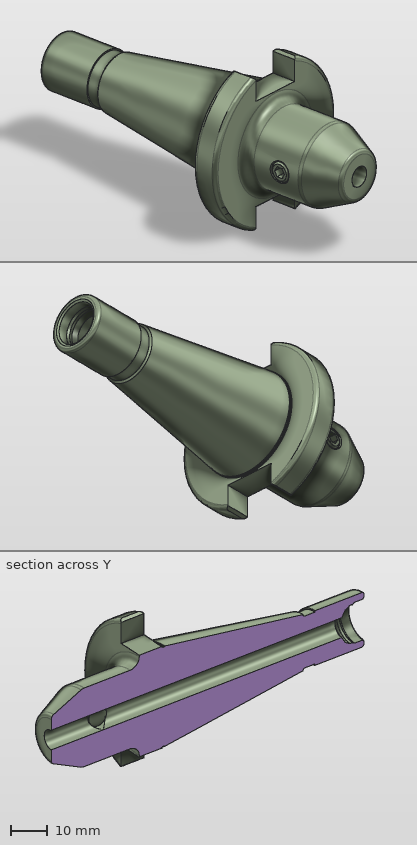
import cadquery as cq
import math

TOTAL_LENGTH = 108.4
TAPER_RATIO = 7 / 24
GAUGE_RADIUS = 31.9 / 2
GAUGE_X = 68.9

RELIEF_START_X = 69.2
RELIEF_END_X = 69.7
RELIEF_DEPTH = 0.16

PILOT_RADIUS = 17.5 / 2
PILOT_LENGTH = 17.1
PILOT_EDGE_FILLET = 1.0
GROOVE_RADIUS = 16.6 / 2
GROOVE_END_X = 20.8
TAPER_START_X = 21.2

FLANGE_RADIUS = 50.2 / 2
FLANGE_START_X = 70.0
FLANGE_THICKNESS = 7.9
FLANGE_EDGE_FILLET = 1.2
NOTCH_WIDTH = 16.0
NOTCH_FLOOR_Z = 16.2
NOTCH_EDGE_CHAMFER = 1.0

NOSE_RADIUS = 25.0 / 2
NOSE_ROOT_FILLET = 3.1
NOSE_CONE_X = 97.6
NOSE_CONE_ANGLE = 25.0
NOSE_SHOULDER_FILLET = 2.5
NOSE_TIP_FILLET = 1.4

MOUTH_RADIUS = 7.0
MOUTH_HALF_ANGLE = 60.0
COUNTERBORE_RADIUS = 6.4
COUNTERBORE_DEPTH = 3.4
BORE_STEP_HALF_ANGLE = 30.0
THREAD_RADIUS = 6.0
THREAD_END_X = 5.0
DRILL_RADIUS = 5.1
DRILL_HALF_ANGLE = 59.0
TOOL_BORE_RADIUS = 3.0

SCREW_X = 90.3
SCREW_RADIUS = 3.0
SCREW_INNER_Y = -2.5
SCREW_EDGE_CHAMFER = 0.5
SOCKET_ACROSS_FLATS = 3.0
SOCKET_DEPTH = 3.5
SOCKET_TURN = 30.0
SCREW_HOLE_CHAMFER = 0.3

SPOTFACE_X = 88.5
SPOTFACE_RADIUS = 5.0
SPOTFACE_FLOOR_Y = 11.8

MATCH_TOLERANCE = 0.01


def cone_run(radius_change, half_angle):
    """Axial length of a cone over which the radius changes by the given amount."""
    return radius_change / math.tan(math.radians(half_angle))


def revolve_about_x(profile):
    return profile.close().revolve(360, (0, 0, 0), (1, 0, 0))


def round_edges(solid, fillet_radius, x, edge_radius):
    """Fillet the circular edges of the given radius lying in the plane at x."""
    matches = [
        edge
        for edge in solid.edges("%CIRCLE").vals()
        if abs(edge.Center().x - x) < MATCH_TOLERANCE and abs(edge.radius() - edge_radius) < MATCH_TOLERANCE
    ]
    return solid.newObject(matches).fillet(fillet_radius)


def turned_blank():
    taper_start_radius = GAUGE_RADIUS - (GAUGE_X - TAPER_START_X) * TAPER_RATIO / 2
    flange_end_x = FLANGE_START_X + FLANGE_THICKNESS
    tip_drop = (TOTAL_LENGTH - NOSE_CONE_X) * math.tan(math.radians(NOSE_CONE_ANGLE))
    tip_radius = NOSE_RADIUS - tip_drop
    blank = revolve_about_x(
        cq.Workplane("XZ")
        .moveTo(0, 0)
        .lineTo(0, PILOT_RADIUS)
        .lineTo(PILOT_LENGTH, PILOT_RADIUS)
        .lineTo(PILOT_LENGTH, GROOVE_RADIUS)
        .lineTo(GROOVE_END_X, GROOVE_RADIUS)
        .lineTo(TAPER_START_X, taper_start_radius)
        .lineTo(GAUGE_X, GAUGE_RADIUS)
        .lineTo(RELIEF_START_X, GAUGE_RADIUS)
        .lineTo(RELIEF_START_X, GAUGE_RADIUS - RELIEF_DEPTH)
        .lineTo(RELIEF_END_X, GAUGE_RADIUS - RELIEF_DEPTH)
        .lineTo(RELIEF_END_X, GAUGE_RADIUS)
        .lineTo(FLANGE_START_X, GAUGE_RADIUS)
        .lineTo(FLANGE_START_X, FLANGE_RADIUS)
        .lineTo(flange_end_x, FLANGE_RADIUS)
        .lineTo(flange_end_x, NOSE_RADIUS)
        .lineTo(NOSE_CONE_X, NOSE_RADIUS)
        .lineTo(TOTAL_LENGTH, tip_radius)
        .lineTo(TOTAL_LENGTH, 0)
    )
    blank = round_edges(blank, PILOT_EDGE_FILLET, 0, PILOT_RADIUS)
    blank = round_edges(blank, FLANGE_EDGE_FILLET, FLANGE_START_X, FLANGE_RADIUS)
    blank = round_edges(blank, FLANGE_EDGE_FILLET, flange_end_x, FLANGE_RADIUS)
    blank = round_edges(blank, NOSE_ROOT_FILLET, flange_end_x, NOSE_RADIUS)
    blank = round_edges(blank, NOSE_SHOULDER_FILLET, NOSE_CONE_X, NOSE_RADIUS)
    return round_edges(blank, NOSE_TIP_FILLET, TOTAL_LENGTH, tip_radius)


def axial_bore():
    mouth_run = cone_run(MOUTH_RADIUS - COUNTERBORE_RADIUS, MOUTH_HALF_ANGLE)
    entry_run = cone_run(COUNTERBORE_RADIUS - THREAD_RADIUS, BORE_STEP_HALF_ANGLE)
    runout_run = cone_run(THREAD_RADIUS - DRILL_RADIUS, BORE_STEP_HALF_ANGLE)
    runout_end_x = THREAD_END_X + runout_run
    drill_run = cone_run(DRILL_RADIUS - TOOL_BORE_RADIUS, DRILL_HALF_ANGLE)
    return revolve_about_x(
        cq.Workplane("XZ")
        .moveTo(0, 0)
        .lineTo(0, MOUTH_RADIUS)
        .lineTo(mouth_run, COUNTERBORE_RADIUS)
        .lineTo(COUNTERBORE_DEPTH, COUNTERBORE_RADIUS)
        .lineTo(COUNTERBORE_DEPTH + entry_run, THREAD_RADIUS)
        .lineTo(THREAD_END_X, THREAD_RADIUS)
        .lineTo(runout_end_x, DRILL_RADIUS)
        .lineTo(runout_end_x + drill_run, TOOL_BORE_RADIUS)
        .lineTo(TOTAL_LENGTH, TOOL_BORE_RADIUS)
        .lineTo(TOTAL_LENGTH, 0)
    )


def driving_notch(side):
    """Notch through the flange on the +Z (side = 1) or -Z (side = -1) rim, with chamfered rim corners."""
    half_width = NOTCH_WIDTH / 2
    chamfer_y = half_width + NOTCH_EDGE_CHAMFER
    corner_z = math.sqrt(FLANGE_RADIUS**2 - half_width**2)
    rim_z = math.sqrt(FLANGE_RADIUS**2 - chamfer_y**2)
    outline = [
        (half_width, NOTCH_FLOOR_Z),
        (half_width, corner_z - NOTCH_EDGE_CHAMFER),
        (chamfer_y, rim_z),
        (chamfer_y, FLANGE_RADIUS),
    ]
    mirrored = [(-y, z) for y, z in reversed(outline)]
    return (
        cq.Workplane("YZ", origin=(FLANGE_START_X, 0, 0))
        .polyline([(y, side * z) for y, z in outline + mirrored])
        .close()
        .extrude(FLANGE_THICKNESS)
    )


def y_cylinder(x, radius, start_y, end_y):
    return cq.Workplane("XZ", origin=(x, end_y, 0)).circle(radius).extrude(end_y - start_y)


def drill_screw_hole(solid):
    """Cut the screw hole down to the part axis and chamfer its mouth."""
    solid = solid.cut(y_cylinder(SCREW_X, SCREW_RADIUS, -NOSE_RADIUS, 0))
    reach = SCREW_RADIUS + SCREW_HOLE_CHAMFER
    mouth = cq.selectors.BoxSelector(
        (SCREW_X - reach, -NOSE_RADIUS - reach, -reach),
        (SCREW_X + reach, -SCREW_RADIUS, reach),
        boundingbox=True,
    )
    rim = [edge for edge in solid.edges(mouth).vals() if edge.geomType() not in ("LINE", "CIRCLE")]
    return solid.newObject(rim).chamfer(SCREW_HOLE_CHAMFER)


def make_holder():
    holder = drill_screw_hole(turned_blank()).cut(axial_bore())
    for side in (1, -1):
        holder = holder.cut(driving_notch(side))
    return holder.cut(y_cylinder(SPOTFACE_X, SPOTFACE_RADIUS, SPOTFACE_FLOOR_Y, NOSE_RADIUS))


def make_screw():
    screw = y_cylinder(SCREW_X, SCREW_RADIUS, -NOSE_RADIUS, SCREW_INNER_Y)
    screw = screw.faces("<Y").chamfer(SCREW_EDGE_CHAMFER)
    socket = (
        cq.Workplane("XZ", origin=(SCREW_X, SOCKET_DEPTH - NOSE_RADIUS, 0))
        .polygon(6, SOCKET_ACROSS_FLATS, circumscribed=True)
        .extrude(SOCKET_DEPTH)
        .rotate((SCREW_X, 0, 0), (SCREW_X, 1, 0), SOCKET_TURN)
    )
    return screw.cut(socket)


holder = make_holder()
screw = make_screw()

result = cq.Compound.makeCompound([holder.val(), screw.val()])